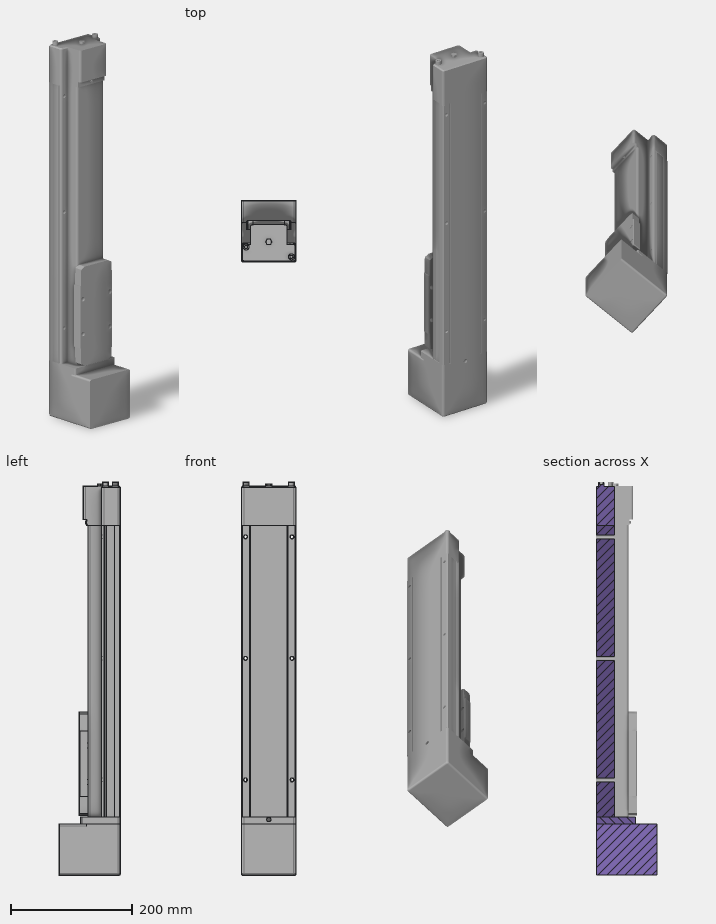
import cadquery as cq

WIDTH = 90.0
DEPTH = 101.0
HEIGHT = 647.5

FLANGE_BOTTOM = 85.0
FLANGE_TOP = 96.5
PROFILE_TOP = 576.0
HEAD_TOP = 641.0

BASE_THICKNESS = 31.0
RAIL_WIDTH = 60.0
EDGE_RADIUS = 4.0

HOUSING_EDGE_RADIUS = 3.0
HOUSING_SHOULDER_Y = 56.0

FLANGE_DEPTH = 65.5
FLANGE_REAR_RADIUS = 2.5
FLANGE_HOLE_DIAMETER = 7.0
FLANGE_HOLE_Z = 92.0
FLANGE_HOLE_DEPTH = 10.0

PROFILE_DEPTH = 54.0
PROFILE_FRONT_CHAMFER = 1.6
GROOVE_WIDTH = 2.0
GROOVE_DEPTH = 2.0
SIDE_GROOVE_Y = 25.0
SIDE_RECESS_DEPTH = 1.0
SIDE_RECESS_BOTTOM_Y = 10.0
SIDE_RECESS_TOP_Y = 23.0
MOUNT_HOLE_DIAMETER = 6.0
MOUNT_HOLE_X = 38.0
MOUNT_HOLE_PITCH = 200.0
MOUNT_HOLE_MIDDLE_Z = 357.5
MOUNT_HOLE_ROWS = 3

CARRIAGE_WIDTH = 74.0
CARRIAGE_REAR_Y = 68.0
CARRIAGE_BOTTOM = 98.5
CARRIAGE_TOP = 269.5
CAP_LENGTH = 32.0
CAP_SETBACK = 2.0
CAP_TAPER = 1.0
CAP_CORNER_X = 8.0
CAP_CORNER_Z = 4.0
CARRIAGE_REAR_CHAMFER = 1.6
CARRIAGE_HOLE_DIAMETER = 8.0
CARRIAGE_HOLE_X = 30.1
CARRIAGE_HOLE_PITCH = 60.0

HEAD_DEPTH = 61.5
HEAD_TOP_CHAMFER = 2.0
HEAD_NOTCH_Z = 586.0
HEAD_NOTCH_Y = 56.0
BUTTON_DIAMETER = 4.5
BUTTON_HEIGHT = 2.0
KNOB_DIAMETER = 10.0
KNOB_X = 37.2
LEFT_KNOB_Y = 24.5
RIGHT_KNOB_Y = 8.5
KNOB_SOCKET_DIAMETER = 5.0
KNOB_SOCKET_DEPTH = 3.0
NUT_CORNER_DIAMETER = 10.5
NUT_Y = 33.0
NUT_TOP = 645.0


def block(width, y_front, y_rear, z_bottom, z_top):
    """Box centred on X = 0 between the given Y and Z limits."""
    size = (width, y_rear - y_front, z_top - z_bottom)
    return cq.Workplane().box(*size, centered=(True, False, False)).translate((0, y_front, z_bottom))


def tee(rail_depth, z_bottom, z_top):
    """Wide base with a narrower rail behind it, outer rear corners rounded."""
    base = block(WIDTH, 0, BASE_THICKNESS, z_bottom, z_top).edges("|Z and >Y").fillet(EDGE_RADIUS)
    rail = block(RAIL_WIDTH, 0, rail_depth, z_bottom, z_top).edges("|Z and >Y").fillet(EDGE_RADIUS)
    return base.union(rail)


def make_housing():
    front = block(WIDTH, 0, HOUSING_SHOULDER_Y, 0, FLANGE_BOTTOM)
    front = front.edges("|Z and <Y").fillet(EDGE_RADIUS)
    rear = block(WIDTH, HOUSING_SHOULDER_Y, DEPTH, 0, FLANGE_BOTTOM)
    rear = rear.edges("|Y and >Z").fillet(HOUSING_EDGE_RADIUS)
    housing = front.union(rear)
    return housing.faces("<Z").edges("|Y").fillet(HOUSING_EDGE_RADIUS)


def make_flange():
    plate = block(WIDTH, 0, FLANGE_DEPTH, FLANGE_BOTTOM, FLANGE_TOP)
    plate = plate.edges("|Z and <Y").fillet(EDGE_RADIUS)
    plate = plate.edges("|Z and >Y").fillet(FLANGE_REAR_RADIUS)
    hole = cq.Workplane("XZ", origin=(0, 0, FLANGE_HOLE_Z)).circle(FLANGE_HOLE_DIAMETER / 2)
    return plate.cut(hole.extrude(-FLANGE_HOLE_DEPTH))


def make_profile():
    profile = tee(PROFILE_DEPTH, FLANGE_TOP, PROFILE_TOP)
    profile = profile.edges("|Z and <Y").chamfer(PROFILE_FRONT_CHAMFER)

    for side in (-1, 1):
        front_groove = block(GROOVE_WIDTH, 0, GROOVE_DEPTH, FLANGE_TOP, PROFILE_TOP)
        profile = profile.cut(front_groove.translate((side * (RAIL_WIDTH + GROOVE_WIDTH) / 2, 0, 0)))

        side_x = side * WIDTH / 2
        side_groove = block(
            2 * GROOVE_DEPTH, SIDE_GROOVE_Y, SIDE_GROOVE_Y + GROOVE_WIDTH, FLANGE_TOP, PROFILE_TOP
        )
        profile = profile.cut(side_groove.translate((side_x, 0, 0)))
        recess = block(
            2 * SIDE_RECESS_DEPTH, SIDE_RECESS_BOTTOM_Y, SIDE_RECESS_TOP_Y, FLANGE_TOP, PROFILE_TOP
        )
        profile = profile.cut(recess.translate((side_x, 0, 0)))

    holes = (
        cq.Workplane("XZ", origin=(0, 0, MOUNT_HOLE_MIDDLE_Z))
        .rarray(2 * MOUNT_HOLE_X, MOUNT_HOLE_PITCH, 2, MOUNT_HOLE_ROWS)
        .circle(MOUNT_HOLE_DIAMETER / 2)
        .extrude(-BASE_THICKNESS)
    )
    return profile.cut(holes)


def make_end_cap(z_inner, z_end):
    """Cap set in from the plate sides, narrowing to its end, with both end corners cut off."""
    outward = 1 if z_end > z_inner else -1
    inner_half = CARRIAGE_WIDTH / 2 - CAP_SETBACK
    end_half = inner_half - CAP_TAPER
    z_corner = z_end - outward * CAP_CORNER_Z
    right_side = [
        (inner_half, z_inner),
        (end_half, z_corner),
        (end_half - CAP_CORNER_X, z_end),
    ]
    left_side = [(-x, z) for x, z in reversed(right_side)]
    outline = cq.Workplane("XZ", origin=(0, PROFILE_DEPTH, 0)).polyline(right_side + left_side).close()
    return outline.extrude(PROFILE_DEPTH - CARRIAGE_REAR_Y)


def make_carriage():
    plate_bottom = CARRIAGE_BOTTOM + CAP_LENGTH
    plate_top = CARRIAGE_TOP - CAP_LENGTH
    plate = block(CARRIAGE_WIDTH, PROFILE_DEPTH, CARRIAGE_REAR_Y, plate_bottom, plate_top)
    plate = plate.edges("|Z and >Y").chamfer(CARRIAGE_REAR_CHAMFER)
    holes = (
        cq.Workplane("XZ", origin=(0, PROFILE_DEPTH, (plate_bottom + plate_top) / 2))
        .rarray(2 * CARRIAGE_HOLE_X, CARRIAGE_HOLE_PITCH, 2, 2)
        .circle(CARRIAGE_HOLE_DIAMETER / 2)
        .extrude(PROFILE_DEPTH - CARRIAGE_REAR_Y)
    )
    bottom_cap = make_end_cap(plate_bottom, CARRIAGE_BOTTOM)
    top_cap = make_end_cap(plate_top, CARRIAGE_TOP)
    return plate.cut(holes).union(bottom_cap).union(top_cap)


def make_head():
    head = tee(HEAD_DEPTH, PROFILE_TOP, HEAD_TOP).edges("|Z and <Y").fillet(EDGE_RADIUS)
    head = head.faces(">Z").edges("<Y or <X or >X").chamfer(HEAD_TOP_CHAMFER)
    head = head.cut(block(WIDTH, HEAD_NOTCH_Y, HEAD_DEPTH, PROFILE_TOP, HEAD_NOTCH_Z))

    button_z = (PROFILE_TOP + HEAD_NOTCH_Z) / 2
    button = cq.Workplane("XZ", origin=(0, HEAD_NOTCH_Y, button_z)).circle(BUTTON_DIAMETER / 2)
    head = head.union(button.extrude(-BUTTON_HEIGHT))

    for x, y in ((-KNOB_X, LEFT_KNOB_Y), (KNOB_X, RIGHT_KNOB_Y)):
        knob = cq.Workplane(origin=(x, y, HEAD_TOP - HEAD_TOP_CHAMFER)).circle(KNOB_DIAMETER / 2)
        head = head.union(knob.extrude(HEIGHT - HEAD_TOP + HEAD_TOP_CHAMFER))
        socket = cq.Workplane(origin=(x, y, HEIGHT)).circle(KNOB_SOCKET_DIAMETER / 2)
        head = head.cut(socket.extrude(-KNOB_SOCKET_DEPTH))

    nut = cq.Workplane(origin=(0, NUT_Y, HEAD_TOP)).polygon(6, NUT_CORNER_DIAMETER)
    return head.union(nut.extrude(NUT_TOP - HEAD_TOP))


housing = make_housing()
flange = make_flange()
profile = make_profile()
carriage = make_carriage()
head = make_head()

result = cq.Compound.makeCompound(
    [housing.val(), flange.val(), profile.val(), carriage.val(), head.val()]
)